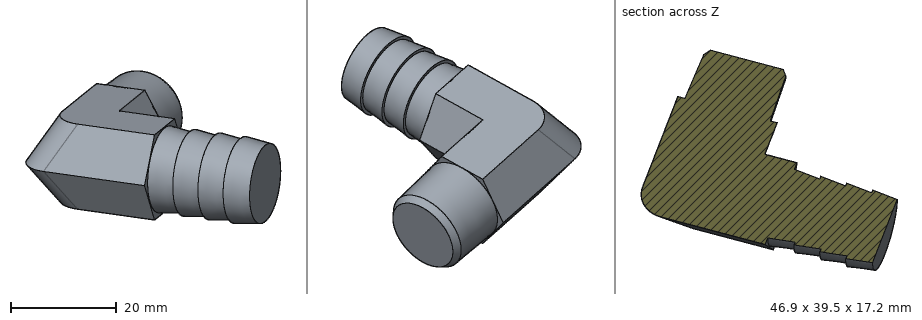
import cadquery as cq
import math

length_x = 46.85
length_y = 39.45
across_flats = 17.15

half_height = across_flats / 2
half_corners = across_flats / math.sqrt(3)
half_flat = half_corners / 2
body_end_x = 16.3
body_end_y = 17.5
corner_radius = 5.5

barb_count = 4
barb_root_radius = 7.7
barb_crest_radius = 8.35
barb_end_x = length_x - half_corners
barb_pitch = (barb_end_x - body_end_x) / barb_count

pipe_base_radius = 8.52
pipe_rim_radius = 8.2
pipe_tip_radius = 7.25
pipe_chamfer_length = 1.35
pipe_end_y = length_y - half_corners


def elbow_outline(half_width, z):
    """L-shaped wire with a rounded outer corner, at height z."""
    arc_start = corner_radius - half_width
    arc_middle = arc_start - corner_radius / math.sqrt(2)
    return (
        cq.Workplane("XY", origin=(0, 0, z))
        .moveTo(arc_start, -half_width)
        .lineTo(body_end_x, -half_width)
        .lineTo(body_end_x, half_width)
        .lineTo(half_width, half_width)
        .lineTo(half_width, body_end_y)
        .lineTo(-half_width, body_end_y)
        .lineTo(-half_width, arc_start)
        .threePointArc((arc_middle, arc_middle), (arc_start, -half_width))
        .close()
        .val()
    )


def elbow_half(side):
    """Body half from the wide mid-plane to the narrow flat above (+1) or below (-1)."""
    wide = elbow_outline(half_corners, 0)
    narrow = elbow_outline(half_flat, side * half_height)
    return cq.Workplane("XY").add(cq.Solid.makeLoft([wide, narrow], True))


def hose_barb():
    """Row of cones, each tapering from crest to root toward the free end."""
    profile = cq.Workplane("XY").moveTo(body_end_x, 0)
    for index in range(barb_count):
        start_x = body_end_x + index * barb_pitch
        profile = profile.lineTo(start_x, barb_crest_radius)
        profile = profile.lineTo(start_x + barb_pitch, barb_root_radius)
    profile = profile.lineTo(barb_end_x, 0).close()
    return profile.revolve(360, (0, 0, 0), (1, 0, 0))


def pipe_end():
    """Solid tapered pipe end with a chamfered tip."""
    return (
        cq.Workplane("XY")
        .moveTo(0, body_end_y)
        .lineTo(pipe_base_radius, body_end_y)
        .lineTo(pipe_rim_radius, pipe_end_y - pipe_chamfer_length)
        .lineTo(pipe_tip_radius, pipe_end_y)
        .lineTo(0, pipe_end_y)
        .close()
        .revolve(360, (0, 0, 0), (0, 1, 0))
    )


body = elbow_half(1).union(elbow_half(-1))
result = body.union(hose_barb()).union(pipe_end())